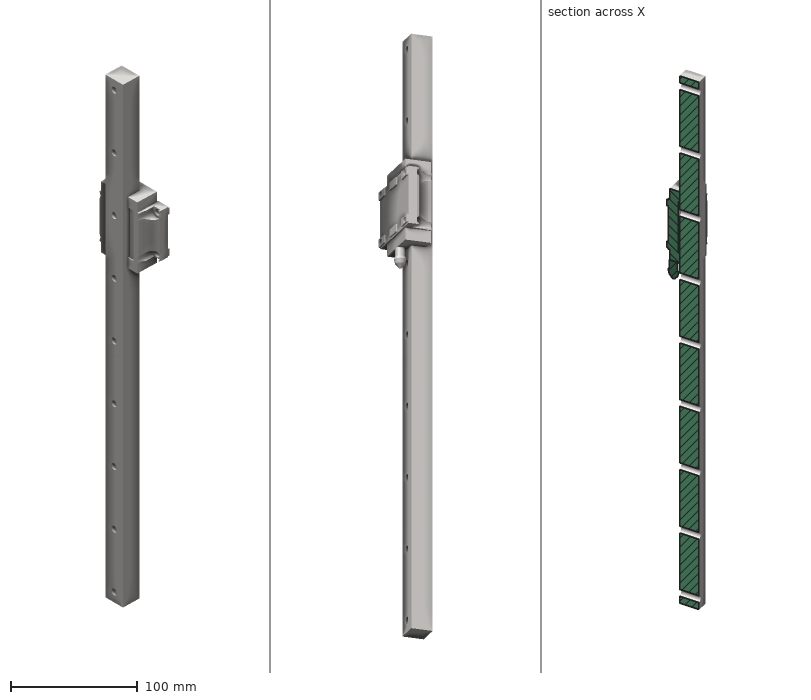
import cadquery as cq

RAIL_LENGTH = 500
RAIL_WIDTH = 20
RAIL_HEIGHT = 18.0
RAIL_HOLE_DIAMETER = 6.0
RAIL_HOLE_PITCH = 60
RAIL_HOLE_COUNT = 9

TOTAL_HEIGHT = 30
CARRIAGE_CENTRE_Z = 106.0
CARRIAGE_BOTTOM_Y = 5.5
BLOCK_LENGTH = 48.0
BLOCK_WIDTH = 44.0
FLANGE_WIDTH = 63.0
FLANGE_SIDE_BOTTOM_Y = 21.5
FLANGE_BEVEL_WIDTH = 0.5
FLANGE_BEVEL_HEIGHT = 2.0
WEB_HEIGHT = 11.0
WEB_SAG = 2.0

PAD_HEIGHT = 1.5
PAD_LENGTH = 6.5
PAD_END_INSET = 1.0
SIDE_PAD_WIDTH = 12.5
CENTRE_PAD_WIDTH = 14.5

BOLT_SPACING_X = 53.0
BOLT_SPACING_Z = 40
BOLT_HOLE_DIAMETER = 5
COUNTERSINK_DEPTH = 0.5
SPOT_FACE_DIAMETER = 10.5

CHANNEL_WIDTH = 23.0
CHANNEL_CLEARANCE = 1.0
RECESS_WIDTH = 32.0
RECESS_DEPTH = 1.0

CAP_LENGTH = 10
CAP_WIDTH = 41.0
CAP_TOP_Y = 27.0

NIPPLE_AXIS_Y = 23.5
STEM_RADIUS = 4.0
STEM_END = 7.5
HEAD_START_RADIUS = 4.5
HEAD_RADIUS = 5
HEAD_RIDGE = 9.5
HEAD_END_RADIUS = 4.0
HEAD_END = 13.0
TIP_RADIUS = 1.0
TIP_END = 16.5

BLOCK_FACE_Y = TOTAL_HEIGHT - PAD_HEIGHT
BLOCK_END_Z = BLOCK_LENGTH / 2
FLANGE_EDGE_X = FLANGE_WIDTH / 2


def box_between(x0, x1, y0, y1, z0, z1):
    """Box spanning the given ranges along X, Y and Z."""
    return cq.Workplane("XY").box(x1 - x0, y1 - y0, z1 - z0, centered=False).translate((x0, y0, z0))


def centred_box(width, y0, y1, z0, z1):
    """Box symmetric about X = 0."""
    return box_between(-width / 2, width / 2, y0, y1, z0, z1)


def make_rail():
    bar = centred_box(RAIL_WIDTH, 0, RAIL_HEIGHT, -RAIL_LENGTH / 2, RAIL_LENGTH / 2)
    return (
        bar.faces("<Y")
        .workplane(centerOption="CenterOfBoundBox")
        .rarray(5, RAIL_HOLE_PITCH, 1, RAIL_HOLE_COUNT)
        .hole(RAIL_HOLE_DIAMETER)
    )


def make_block():
    """Flanged block whose concave webs run from the flange edges down to the sides."""
    side_x = BLOCK_WIDTH / 2
    web_top_x = FLANGE_EDGE_X - FLANGE_BEVEL_WIDTH
    web_top_y = FLANGE_SIDE_BOTTOM_Y - FLANGE_BEVEL_HEIGHT
    web_bottom_y = web_top_y - WEB_HEIGHT
    half = (
        cq.Workplane("XY")
        .workplane(offset=-BLOCK_END_Z)
        .moveTo(0, CARRIAGE_BOTTOM_Y)
        .lineTo(side_x, CARRIAGE_BOTTOM_Y)
        .lineTo(side_x, web_bottom_y)
        .sagittaArc((web_top_x, web_top_y), WEB_SAG)
        .lineTo(FLANGE_EDGE_X, FLANGE_SIDE_BOTTOM_Y)
        .lineTo(FLANGE_EDGE_X, BLOCK_FACE_Y)
        .lineTo(0, BLOCK_FACE_Y)
        .close()
        .extrude(BLOCK_LENGTH)
    )
    return half.union(half.mirror("YZ"))


def make_pads():
    """Row of three pads near each end of the block face."""
    side_pad_x = (FLANGE_WIDTH - SIDE_PAD_WIDTH) / 2
    pad_z = BLOCK_END_Z - PAD_END_INSET - PAD_LENGTH / 2
    pads = cq.Workplane("XY")
    for x, width in ((-side_pad_x, SIDE_PAD_WIDTH), (0, CENTRE_PAD_WIDTH), (side_pad_x, SIDE_PAD_WIDTH)):
        for z in (-pad_z, pad_z):
            pad = centred_box(width, BLOCK_FACE_Y, TOTAL_HEIGHT, z - PAD_LENGTH / 2, z + PAD_LENGTH / 2)
            pads = pads.add(pad.translate((x, 0, 0)))
    return pads.combine()


def make_bolt_cutters():
    """Through hole, countersink and spot face under the flange at each bolt position."""
    hole_radius = BOLT_HOLE_DIAMETER / 2
    sink_top_y = FLANGE_SIDE_BOTTOM_Y + COUNTERSINK_DEPTH
    cutter = (
        cq.Workplane("XY")
        .polyline([
            (0, 0),
            (SPOT_FACE_DIAMETER / 2, 0),
            (SPOT_FACE_DIAMETER / 2, FLANGE_SIDE_BOTTOM_Y),
            (hole_radius + COUNTERSINK_DEPTH, FLANGE_SIDE_BOTTOM_Y),
            (hole_radius, sink_top_y),
            (hole_radius, TOTAL_HEIGHT),
            (0, TOTAL_HEIGHT),
        ])
        .close()
        .revolve(360, (0, 0), (0, 1))
    )
    cutters = []
    for x in (-BOLT_SPACING_X / 2, BOLT_SPACING_X / 2):
        for z in (-BOLT_SPACING_Z / 2, BOLT_SPACING_Z / 2):
            cutters.append(cutter.translate((x, 0, z)))
    return cutters


def make_end_cap(z0):
    """End cap that starts at z0 and fits around the rail."""
    z1 = z0 + CAP_LENGTH
    cap = centred_box(CAP_WIDTH, CARRIAGE_BOTTOM_Y, CAP_TOP_Y, z0, z1)
    return cap.cut(centred_box(RAIL_WIDTH, 0, RAIL_HEIGHT, z0, z1))


def make_carriage():
    carriage = make_block().union(make_pads())
    for cutter in make_bolt_cutters():
        carriage = carriage.cut(cutter)

    channel_top_y = RAIL_HEIGHT + CHANNEL_CLEARANCE
    recess_top_y = CARRIAGE_BOTTOM_Y + RECESS_DEPTH
    carriage = carriage.cut(centred_box(CHANNEL_WIDTH, 0, channel_top_y, -BLOCK_END_Z, BLOCK_END_Z))
    carriage = carriage.cut(centred_box(RECESS_WIDTH, 0, recess_top_y, -BLOCK_END_Z, BLOCK_END_Z))

    for z0 in (-BLOCK_END_Z - CAP_LENGTH, BLOCK_END_Z):
        carriage = carriage.union(make_end_cap(z0))
    return carriage.translate((0, 0, CARRIAGE_CENTRE_Z))


def make_nipple():
    """Turned nipple hanging from the lower end cap."""
    profile = [
        (0, 0),
        (STEM_RADIUS, 0),
        (STEM_RADIUS, -STEM_END),
        (HEAD_START_RADIUS, -STEM_END),
        (HEAD_RADIUS, -HEAD_RIDGE),
        (HEAD_END_RADIUS, -HEAD_END),
        (TIP_RADIUS, -TIP_END),
        (0, -TIP_END),
    ]
    nipple = cq.Workplane("XZ").polyline(profile).close().revolve(360, (0, 0), (0, 1))
    cap_bottom_z = CARRIAGE_CENTRE_Z - BLOCK_END_Z - CAP_LENGTH
    return nipple.translate((0, NIPPLE_AXIS_Y, cap_bottom_z))


rail = make_rail()
carriage = make_carriage()
nipple = make_nipple()

result = cq.Compound.makeCompound([rail.val(), carriage.val(), nipple.val()])